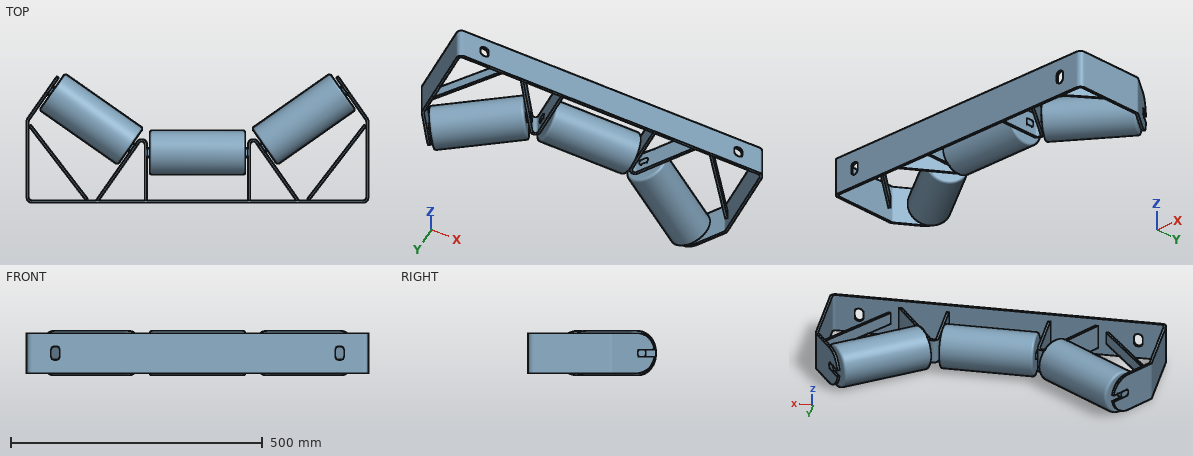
import cadquery as cq
import math

trough_angle = 35.0
strip_width = 80.0
sheet = 5.0
bend_inner_radius = 6.0
bend_outer_radius = bend_inner_radius + sheet

roller_diameter = 89.0
roller_length = 190.0
roller_edge_radius = 5.0
shaft_diameter = 20.0
shaft_flats = 14.0
end_gap = 5.0
sheet_offset = roller_length / 2 + end_gap
shaft_length = 2 * (sheet_offset + sheet)
middle_roller_y = 100.0
wing_roller_x = 211.0
wing_roller_y = 166.4

frame_width = 680.0
leg_end_radius = strip_width / 2
leg_reach = 31.0
mount_slot_x = 282.5
mount_slot_width = 18.0
mount_slot_height = 28.0

bracket_width = 50.0
strut_thickness = 5.0
strut_width = 25.0
strut_top_y = 152.0
strut_foot_x = 222.0

sin_a = math.sin(math.radians(trough_angle))
cos_a = math.cos(math.radians(trough_angle))


def sheet_faces(path, thickness):
    """Points of both faces of a sheet that lies to the left of path."""
    normals = []
    for (x0, y0), (x1, y1) in zip(path, path[1:]):
        length = math.hypot(x1 - x0, y1 - y0)
        normals.append((-(y1 - y0) / length, (x1 - x0) / length))
    far_side = []
    for i, (x, y) in enumerate(path):
        nx0, ny0 = normals[max(i - 1, 0)]
        nx1, ny1 = normals[min(i, len(normals) - 1)]
        mitre = thickness / (1 + nx0 * nx1 + ny0 * ny1)
        far_side.append((x + mitre * (nx0 + nx1), y + mitre * (ny0 + ny1)))
    return path, far_side


def bent_sheet(path, thickness, width):
    """Sheet bent along path, centred on Z = 0, with its bends rounded on both faces."""
    near, far = sheet_faces(path, thickness)
    body = cq.Workplane("XY").polyline(near + far[::-1]).close().extrude(width / 2, both=True)
    for points, radius in ((near, bend_outer_radius), (far, bend_inner_radius)):
        for x, y in points[1:-1]:
            body = body.edges("|Z").edges(cq.selectors.NearestToPointSelector((x, y, 0))).fillet(radius)
    return body


def roller_plane(x, y, side):
    """Plane at a roller centre whose normal is the roller axis; side is -1, 0 or 1."""
    if side == 0:
        axis = (1, 0, 0)
    else:
        axis = (side * cos_a, sin_a, 0)
    return cq.Plane(origin=(x, y, 0), xDir=(0, 0, 1), normal=axis)


def bar(plane, length):
    """Workplane at one end of a bar of this length that is centred on the roller."""
    return cq.Workplane(plane).workplane(offset=-length / 2)


def make_shaft(plane):
    """Shaft with two flats, facing +Z and -Z."""
    start = bar(plane, shaft_length)
    round_bar = start.circle(shaft_diameter / 2).extrude(shaft_length)
    flat_bar = start.rect(shaft_flats, shaft_diameter).extrude(shaft_length)
    return round_bar.intersect(flat_bar)


def make_roller(plane):
    """Rounded-edge shell and its shaft as one body."""
    shell = bar(plane, roller_length).circle(roller_diameter / 2).extrude(roller_length)
    shell = shell.edges("%CIRCLE").fillet(roller_edge_radius)
    return shell.union(make_shaft(plane))


left_plane = roller_plane(-wing_roller_x, wing_roller_y, -1)
middle_plane = roller_plane(0, middle_roller_y, 0)
right_plane = roller_plane(wing_roller_x, wing_roller_y, 1)
roller_planes = [left_plane, middle_plane, right_plane]
rollers = [make_roller(plane) for plane in roller_planes]


def cut_shaft_seats(body):
    """Cut the shaft section out of a sheet wherever a shaft ends in it."""
    for plane in roller_planes:
        body = body.cut(make_shaft(plane))
    return body


leg_offset = sheet_offset + sheet
shaft_end_x = wing_roller_x + leg_offset * cos_a
shaft_end_y = wing_roller_y + leg_offset * sin_a
leg_tip_x = shaft_end_x - leg_reach * sin_a
leg_tip_y = shaft_end_y + leg_reach * cos_a
wall_x = frame_width / 2
knee_y = shaft_end_y - (wall_x - shaft_end_x) * cos_a / sin_a


def leg_end_waste(plane, up):
    """Material outside the round end of a leg, from the roller centre outwards; up points to the tip."""
    cut_depth = 2 * leg_offset
    round_centre = up * (leg_reach - leg_end_radius)
    corner = cq.Workplane(plane).center(0, round_centre + up * leg_end_radius)
    corner = corner.rect(strip_width, 2 * leg_end_radius).extrude(cut_depth)
    disc = cq.Workplane(plane).center(0, round_centre).circle(leg_end_radius).extrude(cut_depth)
    return corner.cut(disc)


def leg_slot(plane, up):
    """Slot as wide as the shaft flats, open at the leg tip, that the shaft drops into."""
    slot = cq.Workplane(plane).center(0, up * leg_reach / 2)
    return slot.rect(shaft_flats, leg_reach).extrude(2 * leg_offset)


def make_frame():
    right_side = [(wall_x, 0), (wall_x, knee_y), (leg_tip_x, leg_tip_y)]
    left_side = [(-x, y) for x, y in reversed(right_side)]
    body = bent_sheet(left_side + right_side, sheet, strip_width)
    for plane, up in ((left_plane, 1), (right_plane, -1)):
        body = body.cut(leg_end_waste(plane, up)).cut(leg_slot(plane, up))
    mount_slots = (
        cq.Workplane("XZ")
        .pushPoints([(-mount_slot_x, 0), (mount_slot_x, 0)])
        .slot2D(mount_slot_height, mount_slot_width, 90)
        .extrude(-sheet)
    )
    return cut_shaft_seats(body.cut(mount_slots))


incline_x = wing_roller_x - sheet_offset * cos_a
incline_y = wing_roller_y - sheet_offset * sin_a


def make_right_bracket():
    foot_x = incline_x + incline_y * sin_a / cos_a
    apex_y = incline_y + (incline_x - sheet_offset) * cos_a / sin_a
    body = bent_sheet([(foot_x, 0), (sheet_offset, apex_y), (sheet_offset, 0)], sheet, bracket_width)
    below_base = cq.Workplane("XY").rect(frame_width, 2 * sheet).extrude(bracket_width, both=True)
    return cut_shaft_seats(body.cut(below_base))


def make_right_strut():
    strut_top_x = wall_x - sheet
    run = strut_top_x - strut_foot_x
    rise = strut_top_y - sheet
    length = math.hypot(run, rise)
    side_step_x = -strut_thickness * rise / length
    side_step_y = strut_thickness * run / length
    section = [
        (strut_foot_x, sheet),
        (strut_top_x, strut_top_y),
        (strut_top_x + side_step_x, strut_top_y + side_step_y),
        (strut_foot_x + side_step_x, sheet + side_step_y),
    ]
    return cq.Workplane("XY").polyline(section).close().extrude(strut_width / 2, both=True)


def right_and_left(body):
    """The right-hand body and its mirror image."""
    return [body, body.mirror("YZ")]


frame = make_frame()
brackets = right_and_left(make_right_bracket())
struts = right_and_left(make_right_strut())

result = cq.Compound.makeCompound(
    [body.val() for body in [frame, *brackets, *struts, *rollers]]
)